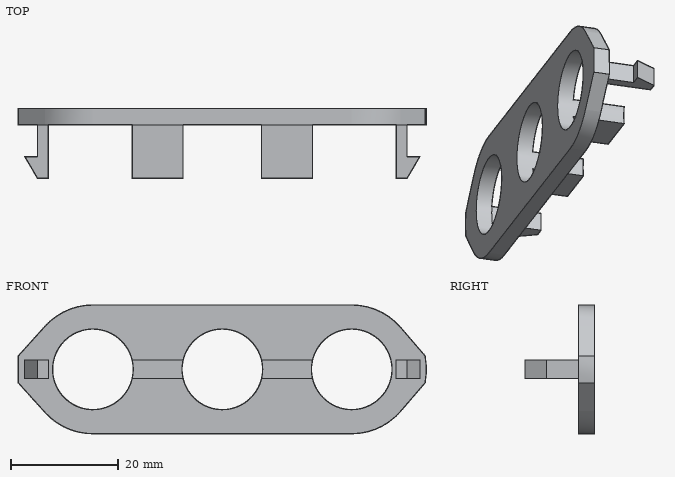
import cadquery as cq
import math

plate_height = 24.0
plate_thickness = 3.05
left_end_x = -38.0
right_corner_x = 37.75
right_bulge_x = 38.0
end_half_height = 2.5

hole_spacing = 24.1
hole_diameter = 15.0

projection = 9.95
bar_height = 3.5

clip_inner_x = 32.35
clip_stem_width = 2.05
barb_overhang = 2.35
barb_start = 5.9

corner_radius = plate_height / 2


def tangent_offset(corner_x):
    """Offsets from the outer hole centre to where the slanted edge meets the corner arc."""
    run = abs(corner_x) - hole_spacing
    distance = math.hypot(run, end_half_height)
    angle = math.atan2(end_half_height, run) + math.acos(corner_radius / distance)
    return arc_point(angle), arc_point((angle + math.pi / 2) / 2)


def arc_point(angle):
    return corner_radius * math.cos(angle), corner_radius * math.sin(angle)


def make_plate():
    (left_dx, left_z), (left_mid_dx, left_mid_z) = tangent_offset(left_end_x)
    (right_dx, right_z), (right_mid_dx, right_mid_z) = tangent_offset(right_corner_x)
    outline = (
        cq.Workplane("XZ")
        .moveTo(left_end_x, -end_half_height)
        .lineTo(left_end_x, end_half_height)
        .lineTo(-hole_spacing - left_dx, left_z)
        .threePointArc((-hole_spacing - left_mid_dx, left_mid_z), (-hole_spacing, corner_radius))
        .lineTo(hole_spacing, corner_radius)
        .threePointArc((hole_spacing + right_mid_dx, right_mid_z), (hole_spacing + right_dx, right_z))
        .lineTo(right_corner_x, end_half_height)
        .threePointArc((right_bulge_x, 0), (right_corner_x, -end_half_height))
        .lineTo(hole_spacing + right_dx, -right_z)
        .threePointArc((hole_spacing + right_mid_dx, -right_mid_z), (hole_spacing, -corner_radius))
        .lineTo(-hole_spacing, -corner_radius)
        .threePointArc((-hole_spacing - left_mid_dx, -left_mid_z), (-hole_spacing - left_dx, -left_z))
        .close()
    )
    return outline.extrude(-plate_thickness)


def make_rib(side):
    """Bar from the middle hole centre to an outer one; the holes trim its ends."""
    return (
        cq.Workplane("XZ")
        .center(side * hole_spacing / 2, 0)
        .rect(hole_spacing, bar_height)
        .extrude(projection)
    )


def make_clip(side):
    """Straight stem with an outward barb that tapers towards the tip."""
    inner_x = side * clip_inner_x
    outer_x = side * (clip_inner_x + clip_stem_width)
    barb_x = outer_x + side * barb_overhang
    profile = [
        (inner_x, 0),
        (outer_x, 0),
        (outer_x, -barb_start),
        (barb_x, -barb_start),
        (outer_x, -projection),
        (inner_x, -projection),
    ]
    return cq.Workplane("XY").polyline(profile).close().extrude(bar_height / 2, both=True)


def make_holes():
    """Cutters through the plate and the full depth of the ribs."""
    return (
        cq.Workplane("XZ", origin=(0, plate_thickness, 0))
        .pushPoints([(-hole_spacing, 0), (0, 0), (hole_spacing, 0)])
        .circle(hole_diameter / 2)
        .extrude(plate_thickness + projection)
    )


result = make_plate()
for side in (-1, 1):
    result = result.union(make_rib(side))
result = result.cut(make_holes())
for side in (-1, 1):
    result = result.union(make_clip(side))